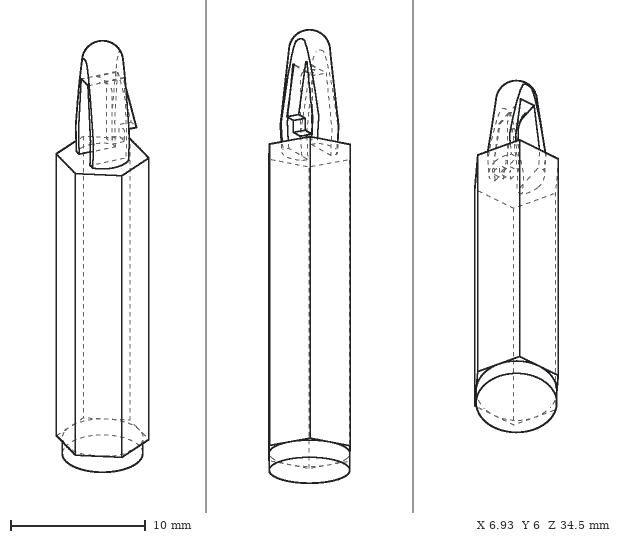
import cadquery as cq
import math

total_height = 34.5
hex_flats = 6.0
foot_diameter = hex_flats
foot_height = 1.35
body_top = 25.0

head_flats = 2.93
root_radius = 2.07
shoulder_radius = 2.17
shoulder_z = 27.08
tip_radius = 1.52
dome_z = 33.22
leg_thickness = 1.1
slot_top = 31.55
leg_taper = (shoulder_radius - tip_radius) / (dome_z - shoulder_z)
slot_top_radius = shoulder_radius - leg_taper * (slot_top - shoulder_z)

tongue_width = 1.0
tongue_bottom = 26.15
tongue_front = 0.52
tongue_back = 1.55
tongue_fillet = 1.0
latch_tip = 2.55


def make_body():
    foot = cq.Workplane("XY").circle(foot_diameter / 2).extrude(foot_height)
    across_corners = hex_flats / math.cos(math.pi / 6)
    hexagon = (
        cq.Workplane("XY", origin=(0, 0, foot_height))
        .polygon(6, across_corners)
        .extrude(body_top - foot_height)
    )
    return foot.union(hexagon)


def make_head():
    """Revolved bullet, trimmed to two flats and split by a through slot."""
    dome_height = total_height - dome_z
    dome_radius = (tip_radius**2 + dome_height**2) / (2 * dome_height)
    dome_center_z = total_height - dome_radius
    middle = dome_radius * math.sqrt(0.5)
    bullet = (
        cq.Workplane("XZ")
        .moveTo(0, body_top)
        .lineTo(root_radius, body_top)
        .lineTo(shoulder_radius, shoulder_z)
        .lineTo(tip_radius, dome_z)
        .threePointArc((middle, dome_center_z + middle), (0, total_height))
        .close()
        .revolve(360, (0, 0, 0), (0, 1, 0))
    )
    flats = cq.Workplane("XY").box(
        2 * shoulder_radius, head_flats, total_height, centered=(True, True, False)
    )
    right_wall = [
        (root_radius - leg_thickness, body_top),
        (shoulder_radius - leg_thickness, shoulder_z),
        (slot_top_radius - leg_thickness, slot_top),
    ]
    left_wall = [(-x, z) for x, z in reversed(right_wall)]
    slot = (
        cq.Workplane("XZ")
        .polyline(right_wall + left_wall)
        .close()
        .extrude(head_flats / 2, both=True)
    )
    return bullet.intersect(flats).cut(slot)


def make_tongue():
    """Tongue and latch profile in the YZ plane, with a concave root fillet."""
    arc_inset = tongue_fillet * (1 - math.sqrt(0.5))
    return (
        cq.Workplane("YZ")
        .moveTo(tongue_front, tongue_bottom)
        .lineTo(tongue_back, tongue_bottom)
        .lineTo(tongue_back, shoulder_z)
        .lineTo(latch_tip, shoulder_z)
        .lineTo(head_flats / 2, slot_top)
        .lineTo(tongue_front - tongue_fillet, slot_top)
        .threePointArc(
            (tongue_front - arc_inset, slot_top - arc_inset),
            (tongue_front, slot_top - tongue_fillet),
        )
        .close()
        .extrude(tongue_width / 2, both=True)
    )


result = make_body().union(make_head()).union(make_tongue())